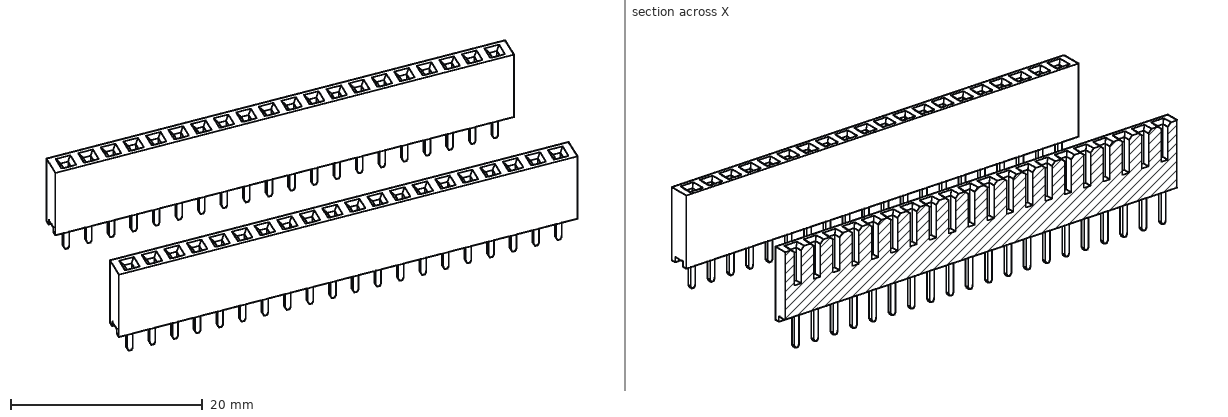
import cadquery as cq

OVERALL_WIDTH = 20.35
OVERALL_HEIGHT = 11.65

HOUSING_LENGTH = 51.6
HOUSING_WIDTH = 2.55
HOUSING_HEIGHT = 8.5
GROOVE_WIDTH = 1.3
GROOVE_DEPTH = 0.6

CONTACT_COUNT = 20
CONTACT_SPAN = 48.25

SOCKET_MOUTH = 1.65
SOCKET_HOLE = 0.8
LEAD_IN_DEPTH = (SOCKET_MOUTH - SOCKET_HOLE) / 2
SOCKET_DEPTH = 4.25

PIN_THICKNESS = 0.45
PIN_WIDTH = 0.6
TIP_CHAMFER_WIDTH = 0.15
TIP_CHAMFER_HEIGHT = 0.3

HEADER_SPACING = OVERALL_WIDTH - HOUSING_WIDTH
PIN_BOTTOM = HOUSING_HEIGHT - OVERALL_HEIGHT
CONTACT_PITCH = CONTACT_SPAN / (CONTACT_COUNT - 1)
CONTACT_POSITIONS = [i * CONTACT_PITCH - CONTACT_SPAN / 2 for i in range(CONTACT_COUNT)]


def make_housing():
    """Bar centred on X and Y, grooved underneath along its full length."""
    bar = cq.Workplane("XY").box(HOUSING_WIDTH, HOUSING_LENGTH, HOUSING_HEIGHT, centered=(True, True, False))
    groove = cq.Workplane("XY").box(GROOVE_WIDTH, HOUSING_LENGTH, GROOVE_DEPTH, centered=(True, True, False))
    return bar.cut(groove)


def make_socket():
    """Square cavity with a tapered mouth, cut down from the housing top."""
    top = cq.Workplane("XY", origin=(0, 0, HOUSING_HEIGHT))
    hole = top.rect(SOCKET_HOLE, SOCKET_HOLE).extrude(-SOCKET_DEPTH)
    lead_in = (
        top.rect(SOCKET_MOUTH, SOCKET_MOUTH)
        .workplane(offset=-LEAD_IN_DEPTH)
        .rect(SOCKET_HOLE, SOCKET_HOLE)
        .loft(ruled=True)
    )
    return hole.union(lead_in)


def make_pin():
    """Blade from the groove ceiling down to its chamfered tip."""
    half_width = PIN_WIDTH / 2
    half_tip = half_width - TIP_CHAMFER_WIDTH
    shoulder = PIN_BOTTOM + TIP_CHAMFER_HEIGHT
    return (
        cq.Workplane("YZ")
        .polyline([
            (-half_width, GROOVE_DEPTH),
            (-half_width, shoulder),
            (-half_tip, PIN_BOTTOM),
            (half_tip, PIN_BOTTOM),
            (half_width, shoulder),
            (half_width, GROOVE_DEPTH),
        ])
        .close()
        .extrude(PIN_THICKNESS / 2, both=True)
    )


def make_header():
    """One header: housing, sockets and pins as a single solid."""
    header = make_housing()
    socket = make_socket()
    pin = make_pin()
    for y in CONTACT_POSITIONS:
        header = header.cut(socket.translate((0, y, 0)))
        header = header.union(pin.translate((0, y, 0)))
    return header


headers = []
for side in (-1, 1):
    headers.append(make_header().translate((side * HEADER_SPACING / 2, 0, 0)))

result = cq.Compound.makeCompound([header.val() for header in headers])